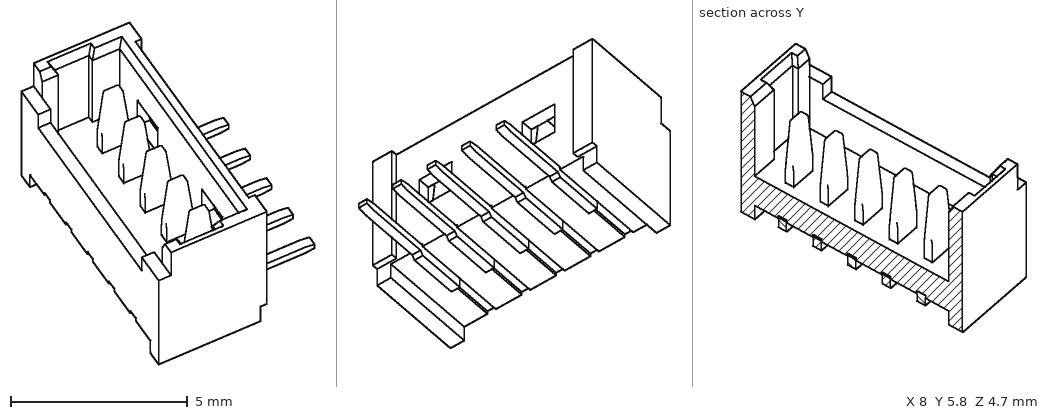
import cadquery as cq


LENGTH = 8.0
HEIGHT = 4.7
BACK_Y = 3.3
EAR_DEPTH = 0.2
EAR_WIDTH = 0.7
EAR_BOTTOM_Z = 0.64
SIDE_WALL = 0.5
FRONT_WALL = 0.4
BACK_WALL = 0.4
CLEARANCE_HEIGHT = 0.54

FRONT_CORNER_Z = 3.7
FRONT_CORNER_WIDTH = 0.98
FRONT_WALL_Z = 3.11

FLOOR_Z = 1.7
GROOVE_DEPTH = 0.21
GROOVE_FRONT_Y = 0.92
GROOVE_BACK_Y = 2.02
MOUTH_DEPTH = 0.3
MOUTH_WIDENING = 0.15

WINDOW_WIDTH = 1.17
WINDOW_BOTTOM_Z = 2.12
WINDOW_TOP_Z = 3.22

PIN_COUNT = 5
PIN_ROW_LENGTH = 5.0
PIN_PITCH = PIN_ROW_LENGTH / (PIN_COUNT - 1)
PIN_THICKNESS = 0.3
PIN_DROP = 0.06
BLADE_FRONT_Y = 1.7
BLADE_WIDTH = 0.87
BLADE_TOP_Z = 4.1
TAPER_START_Z = 2.55
TAPER_INSET = 0.19
TAPER_EDGE_RADIUS = 0.05
TIP_RADIUS = 0.14
HEEL_STEP = 0.08
HEEL_BOTTOM_Z = 0.25
HEEL_BACK_Y = 3.29
TAIL_TOP_Z = EAR_BOTTOM_Z
TAIL_BOTTOM_Z = 0.38
TAIL_START_Y = 3.39
TAIL_END_Y = 5.8
TAIL_TIP_LENGTH = 0.3
TAIL_TIP_INSET = 0.05

BLADE_BACK_Y = BLADE_FRONT_Y + BLADE_WIDTH
PIN_CENTRES = [PIN_PITCH * i - PIN_ROW_LENGTH / 2 for i in range(PIN_COUNT)]


def block(x_range, y_range, z_range):
    """Box between two limits on each axis."""
    size = [high - low for low, high in (x_range, y_range, z_range)]
    corner = (x_range[0], y_range[0], z_range[0])
    return cq.Workplane("XY").box(*size, centered=False).translate(corner)


def centred(width, centre=0.0):
    """Limits of a width placed symmetrically about a centre."""
    return (centre - width / 2, centre + width / 2)


def shell_body():
    """Plain block with the two rear ears and the open space between its feet."""
    body = block(centred(LENGTH), (0, BACK_Y), (0, HEIGHT))
    for ear_x in ((-LENGTH / 2, EAR_WIDTH - LENGTH / 2), (LENGTH / 2 - EAR_WIDTH, LENGTH / 2)):
        body = body.union(block(ear_x, (BACK_Y, BACK_Y + EAR_DEPTH), (EAR_BOTTOM_Z, HEIGHT)))
    return body.cut(block(centred(LENGTH - 2 * SIDE_WALL), (0, BACK_Y), (0, CLEARANCE_HEIGHT)))


def front_wall_steps():
    """Space above the front wall: full length over the corners, deeper between them."""
    over_corners = block(centred(LENGTH), (0, FRONT_WALL), (FRONT_CORNER_Z, HEIGHT))
    between_corners = block(
        centred(LENGTH - 2 * FRONT_CORNER_WIDTH), (0, FRONT_WALL), (FRONT_WALL_Z, HEIGHT)
    )
    return over_corners.union(between_corners)


def cavity_part(width, front_y, back_y, front_widening):
    """Rectangular pocket down to the floor that widens towards its mouth."""
    throat_z = HEIGHT - MOUTH_DEPTH
    throat = block(centred(width), (front_y, back_y), (FLOOR_Z, throat_z))
    mouth_front_y = front_y - front_widening
    mouth_back_y = back_y + MOUTH_WIDENING
    mouth_width = width + 2 * MOUTH_WIDENING
    mouth = (
        cq.Workplane("XY", origin=(0, (front_y + back_y) / 2, throat_z))
        .rect(width, back_y - front_y)
        .workplane(offset=MOUTH_DEPTH)
        .center(0, (mouth_front_y + mouth_back_y - front_y - back_y) / 2)
        .rect(mouth_width, mouth_back_y - mouth_front_y)
        .loft(ruled=True)
    )
    return throat.union(mouth)


def cavity():
    """Mating cavity with its two side grooves."""
    width = LENGTH - 2 * SIDE_WALL
    pocket = cavity_part(width, FRONT_WALL, BACK_Y - BACK_WALL, 0)
    grooves = cavity_part(width + 2 * GROOVE_DEPTH, GROOVE_FRONT_Y, GROOVE_BACK_Y, MOUTH_WIDENING)
    return pocket.union(grooves)


def window(centre_x):
    """Opening through the back wall."""
    return block(
        centred(WINDOW_WIDTH, centre_x), (BACK_Y - BACK_WALL, BACK_Y), (WINDOW_BOTTOM_Z, WINDOW_TOP_Z)
    )


def pin_slot(centre_x):
    """Channel under the floor for the heel and tail, and the hole up through the floor for the blade."""
    pin_x = centred(PIN_THICKNESS, centre_x)
    channel = block(pin_x, (0, BACK_Y), (0, TAIL_TOP_Z))
    blade_hole = block(pin_x, (BLADE_FRONT_Y, BLADE_BACK_Y), (0, FLOOR_Z))
    return channel.union(blade_hole)


def make_housing():
    body = shell_body().cut(front_wall_steps()).cut(cavity())
    window_x = (PIN_ROW_LENGTH - PIN_PITCH) / 2
    for centre_x in (-window_x, window_x):
        body = body.cut(window(centre_x))
    for centre_x in PIN_CENTRES:
        body = body.cut(pin_slot(centre_x))
    return body.solids()


def pin_plate(outline):
    """Plate of the pin's thickness from an outline of (y, z) points, centred on X = 0."""
    return cq.Workplane("YZ").polyline(outline).close().extrude(PIN_THICKNESS / 2, both=True)


def pin_blade():
    """Upright blade, tapered above its straight part, with a rounded tip and rounded taper edges."""
    blade = pin_plate([
        (BLADE_FRONT_Y, TAIL_TOP_Z),
        (BLADE_FRONT_Y, TAPER_START_Z),
        (BLADE_FRONT_Y + TAPER_INSET, BLADE_TOP_Z),
        (BLADE_BACK_Y - TAPER_INSET, BLADE_TOP_Z),
        (BLADE_BACK_Y, TAPER_START_Z),
        (BLADE_BACK_Y, TAIL_TOP_Z),
    ])
    blade = blade.faces(">Z").edges().fillet(TIP_RADIUS)
    taper_edges = blade.edges("%LINE").edges("not(|X or |Y or |Z)")
    return taper_edges.fillet(TAPER_EDGE_RADIUS)


def pin_tail():
    """Heel under the blade and the thinner tail that leaves the housing at the back."""
    return pin_plate([
        (BLADE_FRONT_Y - HEEL_STEP, TAIL_TOP_Z),
        (BLADE_FRONT_Y - HEEL_STEP, HEEL_BOTTOM_Z),
        (HEEL_BACK_Y, HEEL_BOTTOM_Z),
        (TAIL_START_Y, TAIL_BOTTOM_Z),
        (TAIL_END_Y - TAIL_TIP_LENGTH, TAIL_BOTTOM_Z),
        (TAIL_END_Y, TAIL_BOTTOM_Z + TAIL_TIP_INSET),
        (TAIL_END_Y, TAIL_TOP_Z - TAIL_TIP_INSET),
        (TAIL_END_Y - TAIL_TIP_LENGTH, TAIL_TOP_Z),
    ])


def make_pin():
    return pin_tail().union(pin_blade()).solids()


housing = make_housing()
pin = make_pin()
pins = []
for index, centre_x in enumerate(PIN_CENTRES):
    drop = 0 if index == 0 else PIN_DROP
    pins.append(pin.translate((centre_x, 0, -drop)).val())

result = cq.Compound.makeCompound([housing.val(), *pins])